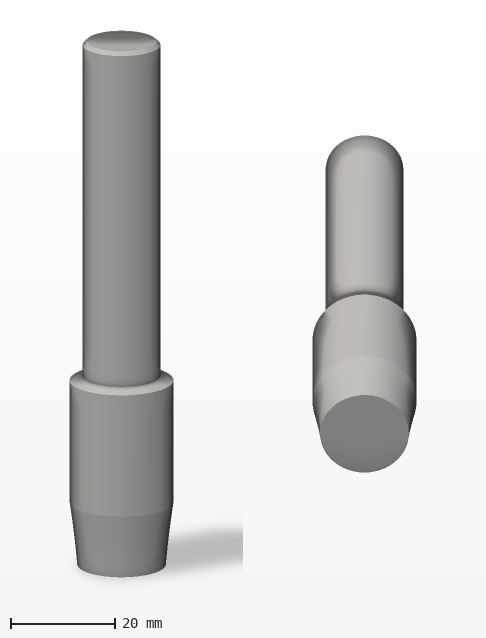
import cadquery as cq

total_height = 105.0

head_radius = 10.0
head_height = 37.9
shoulder_bevel_height = 0.9
taper_height = 12.6
tip_radius = 8.5
taper_hollow = 0.1

shank_radius = 7.5
shank_chamfer = 0.7
shank_length = total_height - head_height


def make_head():
    """Revolve the half outline of the head about Z, with its tip on Z = 0."""
    taper_mid_radius = (tip_radius + head_radius) / 2 - taper_hollow
    return (
        cq.Workplane("XZ")
        .lineTo(tip_radius, 0)
        .threePointArc((taper_mid_radius, taper_height / 2), (head_radius, taper_height))
        .lineTo(head_radius, head_height - shoulder_bevel_height)
        .lineTo(shank_radius, head_height)
        .lineTo(0, head_height)
        .close()
        .revolve(360, (0, 0), (0, 1))
    )


def make_shank():
    """Stand the bar on the top face of the head and chamfer its free end."""
    return (
        cq.Workplane("XY", origin=(0, 0, head_height))
        .circle(shank_radius)
        .extrude(shank_length)
        .faces(">Z")
        .chamfer(shank_chamfer)
    )


head = make_head()
shank = make_shank()

result = cq.Compound.makeCompound([head.val(), shank.val()])